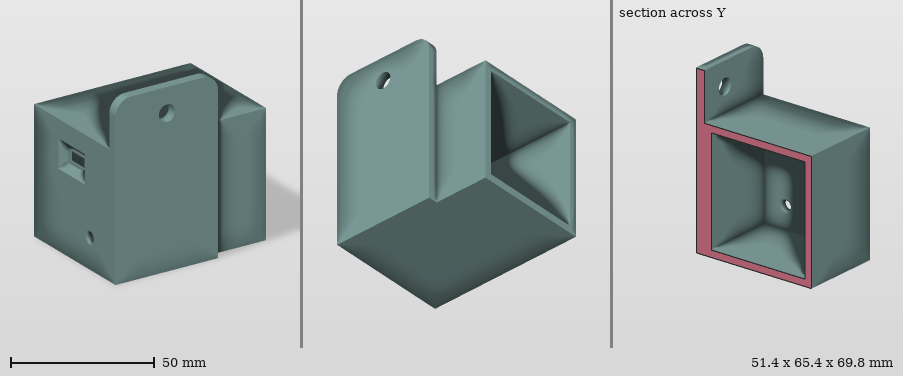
import cadquery as cq
import math

box_width = 47.5
box_depth = 65.4
box_height = 50.0
wall = 3.0

plate_thickness = 3.9
plate_depth = 42.75
plate_height = 69.85
plate_corner_radius = 6.3
mount_hole_diameter = 6.7

window_x = box_width / 2
window_z = 36.9
slot_width = 8.8
slot_height = 3.9
recess_floor_width = 11.5
recess_floor_height = 6.4
recess_depth = 2.5

pin_hole_x = 35.2
pin_hole_z = 12.1
pin_hole_diameter = 3.7
pin_hole_rim_radius = 1.0


def make_housing():
    """Box with an even wall on every side except the open back."""
    outer = cq.Workplane("XY").box(box_width, box_depth, box_height, centered=False)
    return outer.faces(">Y").shell(-wall)


def make_mounting_plate():
    """Upright plate with rounded top corners and one mounting hole."""
    plate = (
        cq.Workplane("XY")
        .box(plate_thickness, plate_depth, plate_height, centered=False)
        .edges("|X and >Z")
        .fillet(plate_corner_radius)
        .translate((box_width, 0, 0))
    )
    hole_z = (box_height + plate_height) / 2
    hole = (
        cq.Workplane("YZ", origin=(box_width, plate_depth / 2, hole_z))
        .circle(mount_hole_diameter / 2)
        .extrude(plate_thickness)
    )
    return plate.cut(hole)


def make_window():
    """Recess with 45 degree sides that narrows to a rectangular slot."""
    front = cq.Workplane("XZ", origin=(window_x, 0, window_z))
    slot = front.rect(slot_width, slot_height).extrude(-wall)
    recess = (
        front.rect(recess_floor_width + 2 * recess_depth, recess_floor_height + 2 * recess_depth)
        .workplane(offset=-recess_depth)
        .rect(recess_floor_width, recess_floor_height)
        .loft(ruled=True)
    )
    return slot.union(recess)


def make_pin_hole():
    """Revolved cutter whose profile flares by a quarter arc at both faces of the wall."""
    radius = pin_hole_diameter / 2
    rim = pin_hole_rim_radius
    rim_inset = rim * (1 - math.sqrt(0.5))
    flared_radius = radius + rim
    return (
        cq.Workplane("XY")
        .moveTo(0, 0)
        .lineTo(flared_radius, 0)
        .threePointArc((radius + rim_inset, rim_inset), (radius, rim))
        .lineTo(radius, wall - rim)
        .threePointArc((radius + rim_inset, wall - rim_inset), (flared_radius, wall))
        .lineTo(0, wall)
        .close()
        .revolve(360, (0, 0), (0, 1))
        .translate((pin_hole_x, 0, pin_hole_z))
    )


housing = make_housing().union(make_mounting_plate())
result = housing.cut(make_window()).cut(make_pin_hole())